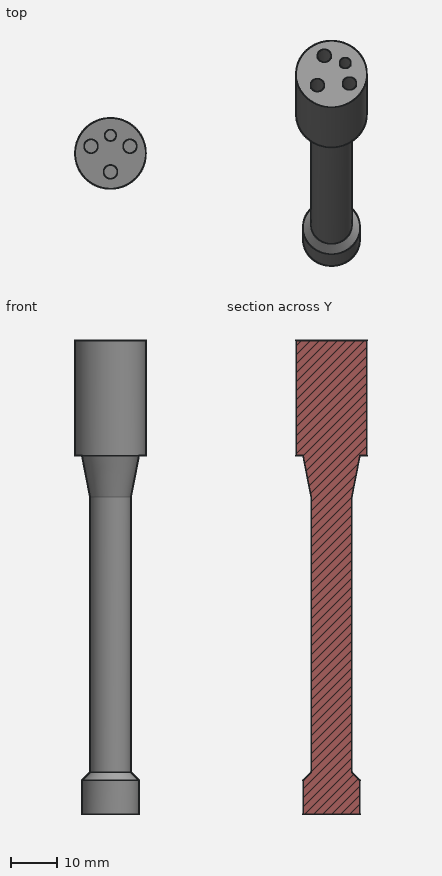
import cadquery as cq

total_length = 103.0
head_diameter = 15.5
head_length = 25.0
taper_length = 9.0
stem_diameter = 9.0
collar_diameter = 12.5
collar_height = 7.4
shoulder_height = 1.8

hole_depth = 10.3
contact_diameter = 3.0
side_contact_x = 4.2
side_contact_y = 1.5
lower_contact_y = -4.0
key_diameter = 2.5
key_y = 3.9

taper_diameter = collar_diameter
head_bottom = total_length - head_length
taper_bottom = head_bottom - taper_length
shoulder_top = collar_height + shoulder_height


def make_body():
    """Revolve the stepped outline around the Z axis."""
    outline = [
        (0, 0),
        (collar_diameter / 2, 0),
        (collar_diameter / 2, collar_height),
        (stem_diameter / 2, shoulder_top),
        (stem_diameter / 2, taper_bottom),
        (taper_diameter / 2, head_bottom),
        (head_diameter / 2, head_bottom),
        (head_diameter / 2, total_length),
        (0, total_length),
    ]
    return cq.Workplane("XZ").polyline(outline).close().revolve(360, (0, 0, 0), (0, 1, 0))


def make_blind_holes(centers, diameter):
    """Cylinders that reach down from the top face."""
    return (
        cq.Workplane("XY", origin=(0, 0, total_length))
        .pushPoints(centers)
        .circle(diameter / 2)
        .extrude(-hole_depth)
    )


contact_centers = [
    (-side_contact_x, side_contact_y),
    (side_contact_x, side_contact_y),
    (0, lower_contact_y),
]
contact_sockets = make_blind_holes(contact_centers, contact_diameter)
key_hole = make_blind_holes([(0, key_y)], key_diameter)

result = make_body().cut(contact_sockets).cut(key_hole)